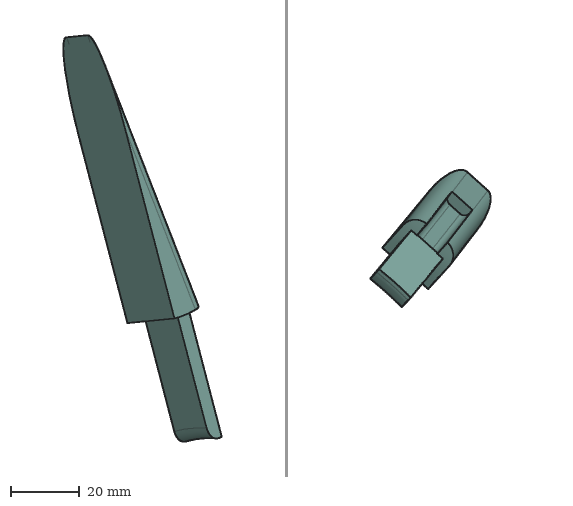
import cadquery as cq
import math

LEAN_ANGLE = 18.0

BLADE_WIDTH = 18.0
BLADE_LENGTH = 87.1
BASE_DEPTH = 14.94
BACK_EDGE_RADIUS = 5.0
BASE_BULGE = 0.55

POCKET_WIDTH = BLADE_WIDTH - 2 * BACK_EDGE_RADIUS
POCKET_LENGTH = 54.2
POCKET_FLOOR_AT_BASE = 9.1
POCKET_FLOOR_AT_END = 2.15
POCKET_FLOOR_RADIUS = 2.0

TANG_WIDTH = 12.4
TANG_THICKNESS = 5.6
TANG_FRONT = 4.8
TANG_LENGTH = 39.2
TANG_END_RADIUS = 40.0
TANG_EDGE_RADIUS = 4.4

CLEARANCE = 5.0


def extrude_across(profile, width):
    """Extrude a closed YZ profile to both sides of the X = 0 plane."""
    return profile.close().extrude(width / 2, both=True)


def make_blade():
    """Build the wedge with a bulged base and rounded back edges."""
    profile = (
        cq.Workplane("YZ")
        .moveTo(0, BLADE_LENGTH)
        .lineTo(0, 0)
        .threePointArc((BASE_DEPTH / 2, -BASE_BULGE), (BASE_DEPTH, 0))
    )
    wedge = extrude_across(profile, BLADE_WIDTH)
    back_normal = cq.Vector(0, BLADE_LENGTH, BASE_DEPTH)
    back = wedge.faces(cq.selectors.ParallelDirSelector(back_normal))
    return back.edges("not |X").fillet(BACK_EDGE_RADIUS)


def make_pocket_cutter():
    """Build the pocket shape: a sloping floor with rounded long edges."""
    floor_slope = (POCKET_FLOOR_AT_BASE - POCKET_FLOOR_AT_END) / POCKET_LENGTH
    open_end = -CLEARANCE
    floor_at_open_end = POCKET_FLOOR_AT_BASE - floor_slope * open_end
    outside = BASE_DEPTH + CLEARANCE
    profile = (
        cq.Workplane("YZ")
        .moveTo(POCKET_FLOOR_AT_END, POCKET_LENGTH)
        .lineTo(floor_at_open_end, open_end)
        .lineTo(outside, open_end)
        .lineTo(outside, POCKET_LENGTH)
    )
    cutter = extrude_across(profile, POCKET_WIDTH)
    return cutter.faces("<Y").edges("not |X").fillet(POCKET_FLOOR_RADIUS)


def make_tang():
    """Build a bar with a hollowed end, its front end edge rounded."""
    half_width = TANG_WIDTH / 2
    end_sagitta = TANG_END_RADIUS - math.sqrt(TANG_END_RADIUS**2 - half_width**2)
    bar = (
        cq.Workplane("XZ", origin=(0, TANG_FRONT, 0))
        .moveTo(-half_width, 0)
        .lineTo(-half_width, -TANG_LENGTH)
        .threePointArc((0, end_sagitta - TANG_LENGTH), (half_width, -TANG_LENGTH))
        .lineTo(half_width, 0)
        .close()
        .extrude(-TANG_THICKNESS)
    )
    return bar.faces("<Y").edges("%CIRCLE").fillet(TANG_EDGE_RADIUS)


blade = make_blade().cut(make_pocket_cutter())
upright = blade.union(make_tang())
result = upright.rotate((0, 0, 0), (0, 1, 0), -LEAN_ANGLE)